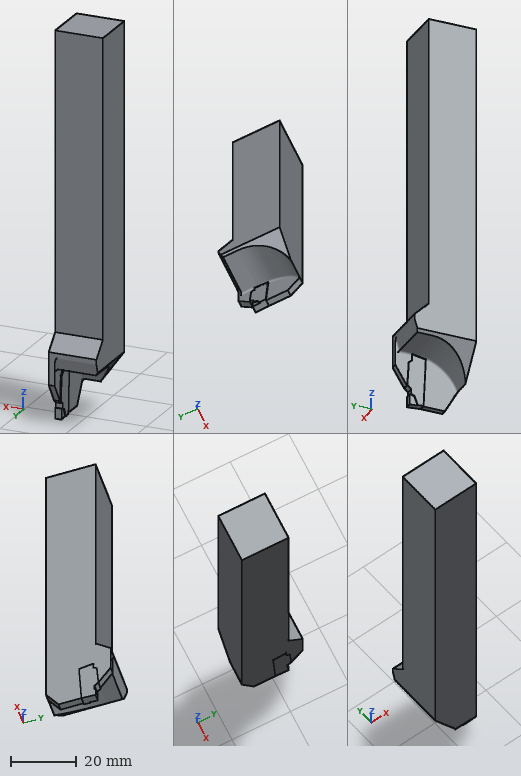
import cadquery as cq

shank_size = 16.0
tool_length = 127.0
head_depth = 20.8
head_shoulder_z = 28.3
head_edge_top_z = head_shoulder_z - (head_depth - shank_size)
head_edge_bottom_z = 12.7

blade_thickness = 2.0
blade_face_x = shank_size - blade_thickness
tip_back_y = 4.1
tip_back_z = 7.6
blade_end_z = 0.4

bevel_top_z = 18.8
bevel_end_x = 7.7
bevel_end_z = 8.1

relief_roof_z = 17.8
relief_radius = 15.5
relief_center_y = 14.5
relief_corner_y = 19.5
relief_exit_z = 21.8
root_fillet = 0.8
margin = 6.4

insert_projection = 0.4
insert_face_x = blade_face_x - insert_projection
insert_back_top = (10.7, 16.8)
insert_back_bottom_y = 11.4
insert_front_top = (15.2, 17.5)
insert_neck = (15.2, 15.5)
insert_shoulder = (16.4, 14.5)
insert_front_low = (16.9, 6.4)
insert_waist = (15.6, 5.2)
insert_nose_top_z = 3.5
rake_depth = 0.3
rake_inner_top = (14.5, 3.0)
rake_inner_bottom_y = 13.3


def yz_prism(points, start_x, end_x):
    """Extrude a (Y, Z) polygon along X."""
    return (
        cq.Workplane("YZ", origin=(start_x, 0, 0))
        .polyline(points)
        .close()
        .extrude(end_x - start_x)
    )


def make_blank():
    outline = [
        (0, tool_length),
        (shank_size, tool_length),
        (shank_size, head_shoulder_z),
        (head_depth, head_edge_top_z),
        (head_depth, head_edge_bottom_z),
        insert_front_low,
        insert_waist,
        (rake_inner_bottom_y, blade_end_z),
        (tip_back_y, blade_end_z),
        (0, tip_back_z),
    ]
    return yz_prism(outline, 0, shank_size)


def make_bevel_cutter():
    slope = (bevel_top_z - bevel_end_z) / bevel_end_x
    return (
        cq.Workplane("XZ", origin=(0, head_depth + margin, 0))
        .moveTo(-margin, bevel_top_z + slope * margin)
        .lineTo(bevel_end_x, bevel_end_z)
        .lineTo(bevel_end_x, -margin)
        .lineTo(-margin, -margin)
        .close()
        .extrude(head_depth + 2 * margin)
    )


def make_relief_cutter():
    center_z = relief_roof_z - relief_radius
    back_y = relief_center_y - relief_radius
    diagonal = relief_radius * 0.5 ** 0.5
    exit_slope = (relief_exit_z - relief_roof_z) / (head_depth - relief_corner_y)
    outer_y = head_depth + margin
    outer_z = relief_exit_z + exit_slope * margin
    return (
        cq.Workplane("YZ", origin=(-margin, 0, 0))
        .moveTo(back_y, -margin)
        .lineTo(back_y, center_z)
        .threePointArc(
            (relief_center_y - diagonal, center_z + diagonal),
            (relief_center_y, relief_roof_z),
        )
        .lineTo(relief_corner_y, relief_roof_z)
        .lineTo(outer_y, outer_z)
        .lineTo(outer_y, -margin)
        .close()
        .extrude(blade_face_x + margin)
        .faces(">X")
        .edges()
        .fillet(root_fillet)
    )


def make_insert_envelope():
    outline = [
        insert_back_top,
        insert_front_top,
        insert_neck,
        insert_shoulder,
        insert_front_low,
        insert_waist,
        (insert_waist[0], insert_nose_top_z),
        (shank_size, insert_nose_top_z),
        (shank_size, 0),
        (insert_back_bottom_y, blade_end_z),
    ]
    return yz_prism(outline, insert_face_x, shank_size)


def make_insert(envelope):
    rake_outline = [
        (shank_size, 0),
        (shank_size, insert_nose_top_z),
        (insert_waist[0], insert_nose_top_z),
        rake_inner_top,
        (rake_inner_bottom_y, 0),
    ]
    return envelope.cut(yz_prism(rake_outline, insert_face_x, insert_face_x + rake_depth))


def make_holder(envelope):
    blank = make_blank().cut(make_bevel_cutter())
    return blank.cut(make_relief_cutter()).cut(envelope)


insert_envelope = make_insert_envelope()
holder = make_holder(insert_envelope)
cutting_insert = make_insert(insert_envelope)

result = cq.Compound.makeCompound([*holder.vals(), *cutting_insert.vals()])